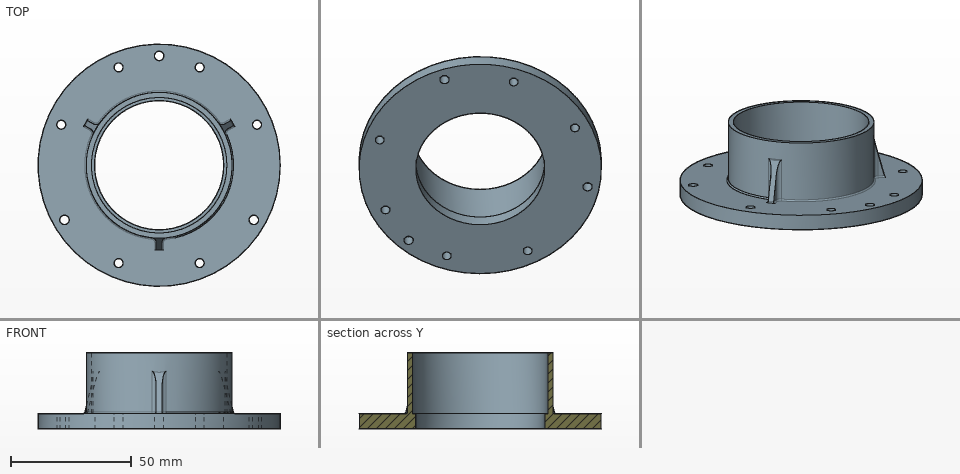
import cadquery as cq
import math

flange_diameter = 100.3
flange_thickness = 6.3
total_height = 31.5
tube_diameter = 60.4
tube_radius = tube_diameter / 2
socket_diameter = 56.1
bore_diameter = 53.4
socket_floor = flange_thickness

rib_angles = (30, 150, 270)
rib_width = 2.4
rib_top = 23.9
rib_foot_radius = 35.1
rib_toe_radius = 34.8
rib_corner_fillet = 1.9
base_fillet = 0.6

main_hole_diameter = 3.6
main_circle_radius = 43.8
main_hole_angles = (22.5, 67.5, 112.5, 157.5, 247.5, 292.5)
outer_hole_diameter = 3.8
outer_circle_radius = 45.2
outer_hole_angles = (90, 210, 330)

blank_overshoot = 5.0
overlap = 1.0

tolerance = 0.01


def cylinder(diameter, bottom, top):
    return cq.Workplane("XY").workplane(offset=bottom).circle(diameter / 2).extrude(top - bottom)


def rib_blank(angle):
    """Upright plate that reaches past the final foot of the rib."""
    start = tube_radius - overlap
    length = rib_foot_radius + blank_overshoot - start
    blank = cq.Workplane("XY").box(length, rib_width, rib_top - flange_thickness, centered=(False, True, False))
    return blank.translate((start, 0, flange_thickness)).rotate((0, 0, 0), (0, 0, 1), angle)


def tube_with_rib_blanks():
    """Tube and plates with rounded corners where each plate meets the tube."""
    body = cylinder(tube_diameter, flange_thickness, total_height)
    for angle in rib_angles:
        body = body.union(rib_blank(angle))
    corner_radius = tube_radius + overlap
    corners = body.edges("|Z").filter(lambda e: math.hypot(e.Center().x, e.Center().y) < corner_radius)
    corners = corners.filter(lambda e: e.Length() < rib_top - flange_thickness + overlap)
    return corners.fillet(rib_corner_fillet)


def is_base_edge(edge):
    """Edges at the foot of the tube and ribs, excluding flange rim and outer rib ends."""
    on_flange_top = abs(edge.Center().z - flange_thickness) < tolerance
    start = edge.startPoint()
    is_rim = math.hypot(start.x, start.y) > flange_diameter / 2 - overlap
    is_rib_end = math.hypot(edge.Center().x, edge.Center().y) > rib_foot_radius + blank_overshoot - tolerance
    return on_flange_top and not is_rim and not is_rib_end


def rib_trim(angle):
    """Wedge outside the tube that leaves the sloping outer face of a rib."""
    corner_offset = rib_width / 2 + rib_corner_fillet
    slope_start = math.sqrt((tube_radius + rib_corner_fillet) ** 2 - corner_offset ** 2)
    slope_start *= tube_radius / (tube_radius + rib_corner_fillet)
    far = rib_foot_radius + 2 * blank_overshoot
    trim_width = 2 * (corner_offset + base_fillet)
    wedge = (
        cq.Workplane("XZ")
        .moveTo(slope_start, rib_top)
        .lineTo(rib_toe_radius, flange_thickness + base_fillet)
        .lineTo(rib_foot_radius, flange_thickness)
        .lineTo(far, flange_thickness)
        .lineTo(far, rib_top)
        .close()
        .extrude(trim_width / 2, both=True)
        .cut(cylinder(tube_diameter, 0, total_height))
    )
    return wedge.rotate((0, 0, 0), (0, 0, 1), angle)


def screw_holes(diameter, radius, angles):
    places = [
        (radius * math.cos(math.radians(angle)), radius * math.sin(math.radians(angle)))
        for angle in angles
    ]
    return cq.Workplane("XY").pushPoints(places).circle(diameter / 2).extrude(flange_thickness)


body = cylinder(flange_diameter, 0, flange_thickness).union(tube_with_rib_blanks())
body = body.edges().filter(is_base_edge).fillet(base_fillet)
for rib_angle in rib_angles:
    body = body.cut(rib_trim(rib_angle))

body = body.cut(cylinder(bore_diameter, 0, total_height))
body = body.cut(cylinder(socket_diameter, socket_floor, total_height))
body = body.cut(screw_holes(main_hole_diameter, main_circle_radius, main_hole_angles))
result = body.cut(screw_holes(outer_hole_diameter, outer_circle_radius, outer_hole_angles))